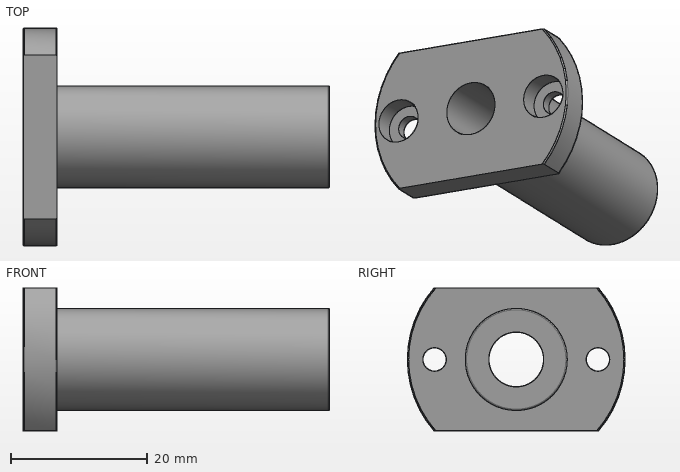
import cadquery as cq
import math

total_length = 45.0
flange_thickness = 5.0
flange_diameter = 32.0
flange_width_across_flats = 21.0
sleeve_diameter = 15.0
bore_diameter = 8.0

flange_rim_radius = 0.2
sleeve_rim_radius = 0.2

screw_spacing = 24.0
screw_hole_diameter = 3.4
counterbore_diameter = 6.5
counterbore_depth = 3.3


def cylinder_along_x(diameter, start_x, length, center_y=0.0):
    """Solid cylinder parallel to X, starting at start_x."""
    return (
        cq.Workplane("YZ", origin=(start_x, center_y, 0))
        .circle(diameter / 2)
        .extrude(length)
    )


def make_flange():
    """Plate with two flats facing +Z and -Z and two arc-shaped, edge-rounded ends facing +Y and -Y."""
    radius = flange_diameter / 2
    half_height = flange_width_across_flats / 2
    corner_y = math.sqrt(radius**2 - half_height**2)
    plate = (
        cq.Workplane("YZ")
        .moveTo(-corner_y, half_height)
        .lineTo(corner_y, half_height)
        .threePointArc((radius, 0), (corner_y, -half_height))
        .lineTo(-corner_y, -half_height)
        .threePointArc((-radius, 0), (-corner_y, half_height))
        .close()
        .extrude(flange_thickness)
    )
    return plate.edges("%CIRCLE").fillet(flange_rim_radius)


def make_sleeve():
    """Round sleeve behind the flange, edge-rounded at its free end."""
    sleeve = cylinder_along_x(sleeve_diameter, 0, total_length)
    return sleeve.faces(">X").edges().fillet(sleeve_rim_radius)


def make_screw_hole(center_y):
    """Through hole with a counterbore sunk from the outer flange face."""
    hole = cylinder_along_x(screw_hole_diameter, 0, flange_thickness, center_y)
    counterbore = cylinder_along_x(counterbore_diameter, 0, counterbore_depth, center_y)
    return hole.union(counterbore)


result = make_flange().union(make_sleeve())
result = result.cut(cylinder_along_x(bore_diameter, 0, total_length))
for side in (-1, 1):
    result = result.cut(make_screw_hole(side * screw_spacing / 2))